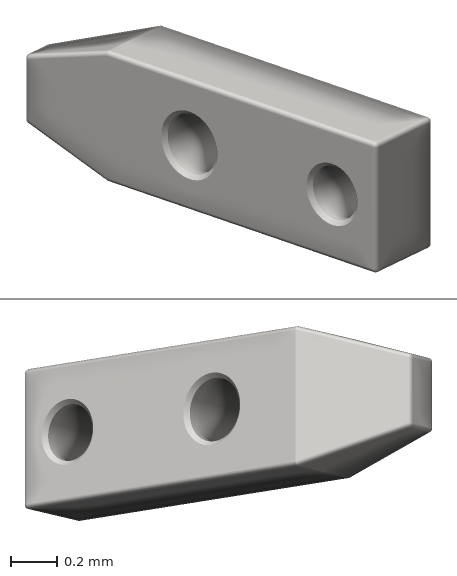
import cadquery as cq

length = 2.0
thickness = 0.38
height = 0.62

nose_length = 0.465
nose_height = 0.32
nose_thickness = 0.16

edge_radius = 0.02
rim_chamfer = 0.02

overrun = 0.2

holes = [(0.938, 0.28), (1.75, 0.25)]


def rounded_bar():
    """Straight bar with all its edges rounded, extended past the nose tip."""
    bar = cq.Workplane("XY").box(
        length + overrun, thickness, height, centered=(False, False, True)
    )
    return bar.translate((-overrun, 0, 0)).edges().fillet(edge_radius)


def rounded_wedge():
    """Wedge that widens from the nose tip in Z and on the +Y side only."""
    height_slope = (height - nose_height) / 2 / nose_length
    thickness_slope = (thickness - nose_thickness) / nose_length
    wedge_length = length + overrun
    wide_half_height = nose_height / 2 + height_slope * wedge_length
    wide_thickness = nose_thickness + thickness_slope * wedge_length

    side_outline = (
        cq.Workplane("XZ")
        .moveTo(0, -nose_height / 2)
        .lineTo(wedge_length, -wide_half_height)
        .lineTo(wedge_length, wide_half_height)
        .lineTo(0, nose_height / 2)
        .close()
        .extrude(-wide_thickness)
    )
    plan_outline = (
        cq.Workplane("XY")
        .lineTo(wedge_length, 0)
        .lineTo(wedge_length, wide_thickness)
        .lineTo(0, nose_thickness)
        .close()
        .extrude(wide_half_height, both=True)
    )
    return side_outline.intersect(plan_outline).edges().fillet(edge_radius)


def chamfered_hole(center_x, diameter):
    """Solid that cuts a through hole with a chamfer at both rims."""
    radius = diameter / 2
    rim_radius = radius + rim_chamfer
    half_section = (
        cq.Workplane("XY")
        .moveTo(center_x, 0)
        .lineTo(center_x + rim_radius, 0)
        .lineTo(center_x + radius, rim_chamfer)
        .lineTo(center_x + radius, thickness - rim_chamfer)
        .lineTo(center_x + rim_radius, thickness)
        .lineTo(center_x, thickness)
        .close()
    )
    return half_section.revolve(360, (center_x, 0, 0), (center_x, thickness, 0))


result = rounded_bar().intersect(rounded_wedge())
for hole_x, hole_diameter in holes:
    result = result.cut(chamfered_hole(hole_x, hole_diameter))